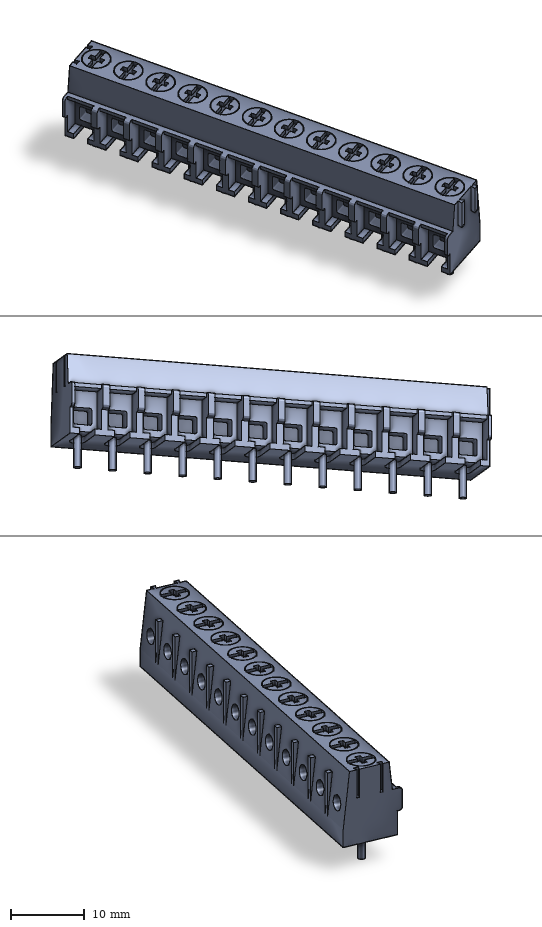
import cadquery as cq


pole_count = 12
pole_span = 55.0
pitch = pole_span / (pole_count - 1)
total_length = 60.6
rail_depth = 0.65
body_length = total_length - rail_depth
first_pole_x = (body_length - pole_span) / 2
pole_xs = [first_pole_x + pole * pitch for pole in range(pole_count)]
gap_xs = [x + pitch / 2 for x in pole_xs[:-1]]

body_depth = 9.0
body_height = 11.4
front_face_y = 0.7
shelf_z = 7.1
shelf_back_y = 1.5
top_front_y = 2.0
top_back_y = 8.05
back_slope_start_z = 2.7

nose_bottom_z = 3.65
nose_radius = 0.5

entry_width = 4.05
entry_floor_z = 0.85
entry_ceiling_z = 6.55
entry_back_y = 2.7
wire_hole_width = 2.6
wire_hole_bottom_z = 1.8
wire_hole_top_z = 4.2
wire_hole_depth = 1.8
wire_hole_corner_radius = 0.3

pin_diameter = 1.0
pin_length = 3.65
pin_y = 4.95
pin_slot_width = 2.2

screw_y = 5.0
screw_diameter = 3.8
screw_hole_diameter = 4.0
screw_gap_depth = 0.7
drive_slot_width = 0.7
drive_bar_length = 2.05
drive_depth = 0.7

rib_width = 0.7
rib_top_z = 9.25
test_hole_diameter = 2.2
test_hole_z = 5.65
test_hole_depth = 1.8

rail_ys = [3.15, 6.7]
rail_root_width = 0.335
rail_tip_width = 0.7


def box(x_min, x_max, y_min, y_max, z_min, z_max):
    size = (x_max - x_min, y_max - y_min, z_max - z_min)
    return cq.Workplane("XY").box(*size, centered=False).translate((x_min, y_min, z_min))


def box_about(x, width, y_min, y_max, z_min, z_max):
    return box(x - width / 2, x + width / 2, y_min, y_max, z_min, z_max)


def upright_cylinder(x, y, diameter, z_min, z_max):
    return cq.Workplane("XY", origin=(x, y, z_min)).circle(diameter / 2).extrude(z_max - z_min)


def housing():
    outline = [
        (front_face_y, 0),
        (body_depth, 0),
        (body_depth, back_slope_start_z),
        (top_back_y, body_height),
        (top_front_y, body_height),
        (shelf_back_y, shelf_z),
        (front_face_y, shelf_z),
    ]
    return cq.Workplane("YZ").polyline(outline).close().extrude(body_length)


def nose_bar():
    """Rounded bar along the whole front, later split into noses by the wire entries."""
    bar = box(0, body_length, 0, front_face_y, nose_bottom_z, shelf_z)
    return bar.edges("|X and <Y").fillet(nose_radius)


def wire_entry(x):
    nose_split = box_about(x, entry_width, 0, front_face_y, nose_bottom_z, shelf_z)
    pocket = box_about(x, entry_width, 0, entry_back_y, entry_floor_z, entry_ceiling_z)
    wire_hole = box_about(
        x, wire_hole_width,
        entry_back_y, entry_back_y + wire_hole_depth,
        wire_hole_bottom_z, wire_hole_top_z,
    ).edges("|Y").fillet(wire_hole_corner_radius)
    return nose_split.union(pocket).union(wire_hole)


def pin_slot(x):
    straight = box_about(x, pin_slot_width, 0, pin_y, 0, entry_floor_z)
    return straight.union(upright_cylinder(x, pin_y, pin_slot_width, 0, entry_floor_z))


def screw_recess(x):
    gap_bottom_z = body_height - screw_gap_depth
    drive_bottom_z = body_height - drive_depth
    ring = upright_cylinder(x, screw_y, screw_hole_diameter, gap_bottom_z, body_height)
    ring = ring.cut(upright_cylinder(x, screw_y, screw_diameter, gap_bottom_z, body_height))
    screw_radius = screw_diameter / 2
    drive_slot = box_about(
        x, drive_slot_width, screw_y - screw_radius, screw_y + screw_radius, drive_bottom_z, body_height
    )
    drive_bar = box_about(
        x, drive_bar_length,
        screw_y - drive_slot_width / 2, screw_y + drive_slot_width / 2,
        drive_bottom_z, body_height,
    )
    return ring.union(drive_slot).union(drive_bar)


def test_hole(x):
    plane = cq.Workplane("XZ", origin=(x, body_depth, test_hole_z))
    return plane.circle(test_hole_diameter / 2).extrude(test_hole_depth)


def pole_cavity(x):
    """Everything removed for one pole, joined so that the touching cavities run into each other."""
    return wire_entry(x).union(pin_slot(x)).union(screw_recess(x)).union(test_hole(x))


def back_rib(x):
    return box_about(x, rib_width, top_back_y, body_depth, 0, rib_top_z)


def dovetail(x, y):
    """Rail that widens from its root at x toward +X."""
    outline = [
        (x, y - rail_root_width / 2),
        (x + rail_depth, y - rail_tip_width / 2),
        (x + rail_depth, y + rail_tip_width / 2),
        (x, y + rail_root_width / 2),
    ]
    plane = cq.Workplane("XY", origin=(0, 0, shelf_z))
    return plane.polyline(outline).close().extrude(body_height - shelf_z)


def all_of(shapes):
    """One compound, so that repeated features are cut or joined in a single step."""
    solids = [solid for shape in shapes for solid in shape.solids().vals()]
    return cq.Workplane(cq.Compound.makeCompound(solids))


pole_cutters = [pole_cavity(x) for x in pole_xs]
pins = [upright_cylinder(x, pin_y, pin_diameter, -pin_length, entry_floor_z) for x in pole_xs]
grooves = [dovetail(0, y) for y in rail_ys]
rails = [dovetail(body_length, y) for y in rail_ys]
back_ribs = [back_rib(x) for x in gap_xs]

result = (
    housing()
    .union(nose_bar())
    .union(all_of(back_ribs))
    .cut(all_of(pole_cutters + grooves))
    .union(all_of(pins + rails))
)